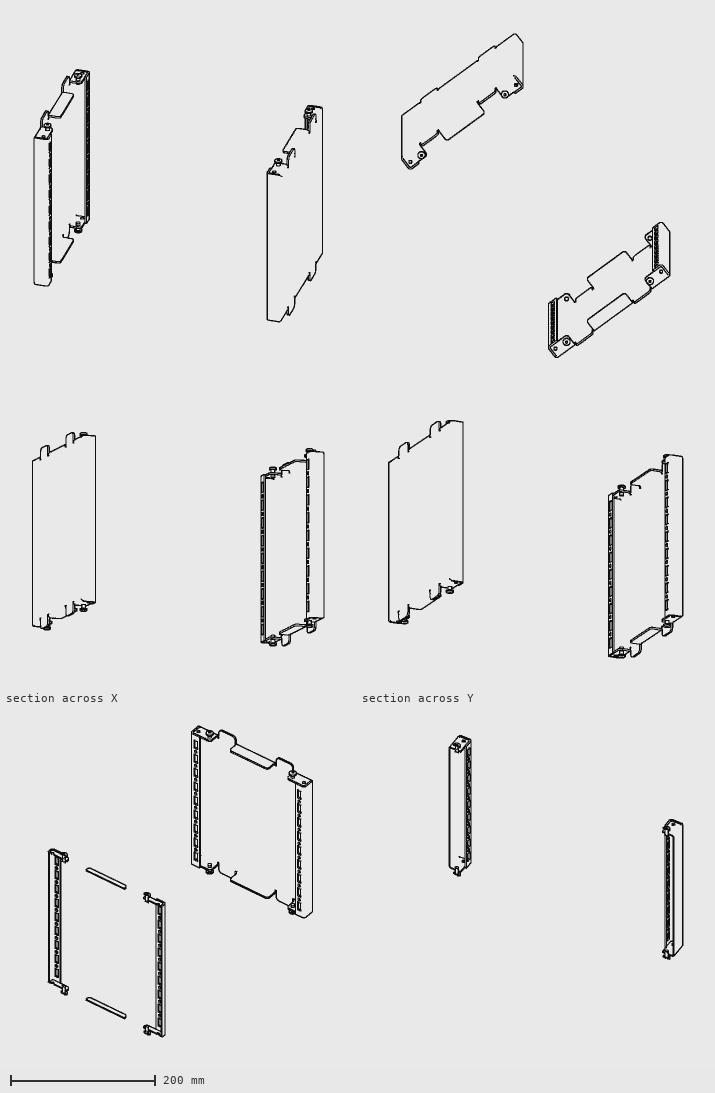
import cadquery as cq
total_x = 359.0
panel_y = 198.0
tabs_z = 255.0

sheet = 2.5
bend_radius = 4.0
tray_depth = 21.5
tray_z = 234.0
lip_width = 15.8
corner_gap = 0.18
flange_depth = tray_depth - sheet - corner_gap

tab_offset = 50.0
tab_width = 28.7
tab_corner_radius = 5.7
relief_width = 2.0
relief_depth = 5.5

middle_flange_half = tab_offset - tab_width / 2 - relief_width
corner_flange_inner = tab_offset + tab_width / 2 + relief_width
corner_flange_outer = panel_y / 2 - sheet - corner_gap
flange_corner_radius = 4.0

hole_depth = 12.5
hole_offset = 91.5
hole_diameter = 4.3
stud_offset = 72.0
shank_diameter = 5.5
stud_height = 8.5
head_diameter = 10.0
head_height = 3.2
head_top_diameter = 4.3
head_dome_height = 1.25
socket_diameter = 3.0
socket_depth = 1.8
shank_end = 3.2

slot_count = 9
slot_pitch = 25.02
slot_width = 5.7
slot_height = 14.0
lip_hole_diameter = 4.3
lip_row_offset = 89.8

SIDES = (-1, 1)


def box(x_range, y_range, z_range):
    """Axis-aligned box between pairs of limits."""
    lows, highs = zip(x_range, y_range, z_range)
    sizes = [high - low for low, high in zip(lows, highs)]
    return cq.Workplane("XY").box(*sizes, centered=False).translate(lows)


def channel_block():
    """Solid block of the tray's outside shape in the XY plane, its four upright edges rounded."""
    block = box((0, tray_depth), (-panel_y / 2, panel_y / 2), (-tray_z / 2, tray_z / 2))
    return block.edges("|Z").fillet(bend_radius)


def flange_block(y_low, y_high, depth):
    """Solid block as tall as the tray, rounded where the wall bends into the flanges."""
    block = box((0, depth), (y_low, y_high), (-tray_z / 2, tray_z / 2))
    return block.edges("<X and |Y").fillet(bend_radius)


def bent_channel():
    """Wall, side walls and lips as one C-shaped section along Z, outer wall face at X = 0."""
    inner_y = panel_y / 2 - sheet
    inner = box((sheet, tray_depth - sheet), (-inner_y, inner_y), (-tray_z / 2, tray_z / 2))
    inner = inner.edges("|Z").fillet(bend_radius - sheet)
    mouth_y = panel_y / 2 - lip_width
    mouth = box((tray_depth / 2, tray_depth), (-mouth_y, mouth_y), (-tray_z / 2, tray_z / 2))
    bend_envelope = flange_block(-panel_y / 2, panel_y / 2, tray_depth)
    return channel_block().cut(inner).cut(mouth).intersect(bend_envelope)


def flange_pair(y_low, y_high, free_corners):
    """Top and bottom flange joined by a strip of wall; free_corners selects the rounded corners."""
    inner_z = tray_z / 2 - sheet
    core = box((sheet, tray_depth), (y_low, y_high), (-inner_z, inner_z))
    core = core.edges("<X and |Y").fillet(bend_radius - sheet)
    block = flange_block(y_low, y_high, flange_depth)
    block = block.edges("|Z and >X").edges(free_corners).fillet(flange_corner_radius)
    return block.cut(core).intersect(channel_block())


def tab_strip(y_centre):
    """Flat strip of wall that ends in a rounded tab at the top and at the bottom."""
    half = tab_width / 2
    strip = box((0, sheet), (y_centre - half, y_centre + half), (-tabs_z / 2, tabs_z / 2))
    return strip.edges("|X").fillet(tab_corner_radius)


def relief_cutters(y_centre):
    """Cutters that free a tab pair and its notches from the bends."""
    half = tab_width / 2 + relief_width
    y_range = (y_centre - half, y_centre + half)
    top = box((0, tray_depth), y_range, (tray_z / 2 - relief_depth, tray_z / 2))
    return top.union(top.mirror("XY"))


def lip_places(count):
    """Y, Z centres of count openings at the slot pitch on each lip, centred on mid-height."""
    middle = (count - 1) / 2
    return [(side * lip_row_offset, (i - middle) * slot_pitch) for side in SIDES for i in range(count)]


def lip_perforation():
    """Cutters for the slots and round holes through both lips."""
    plane = cq.Workplane("YZ", origin=(tray_depth - sheet, 0, 0))
    slots = plane.pushPoints(lip_places(slot_count)).rect(slot_width, slot_height).extrude(sheet)
    holes = plane.pushPoints(lip_places(slot_count - 1)).circle(lip_hole_diameter / 2).extrude(sheet)
    return slots.add(holes).combine()


def flange_holes():
    """Cutters for the open holes and the stud holes of the corner flanges."""
    plane = cq.Workplane("XY")
    open_holes = plane.pushPoints([(hole_depth, side * hole_offset) for side in SIDES])
    open_holes = open_holes.circle(hole_diameter / 2).extrude(tray_z / 2, both=True)
    stud_holes = plane.pushPoints([(hole_depth, side * stud_offset) for side in SIDES])
    stud_holes = stud_holes.circle(shank_diameter / 2).extrude(tray_z / 2, both=True)
    return open_holes.add(stud_holes).combine()


def make_panel():
    """One panel with its outer wall face at X = 0, open towards +X."""
    panel = bent_channel()
    for side in SIDES:
        panel = panel.cut(relief_cutters(side * tab_offset)).union(tab_strip(side * tab_offset))
    panel = panel.union(flange_pair(-middle_flange_half, middle_flange_half, "<Y or >Y"))
    panel = panel.union(flange_pair(corner_flange_inner, corner_flange_outer, "<Y"))
    panel = panel.union(flange_pair(-corner_flange_outer, -corner_flange_inner, ">Y"))
    return panel.cut(lip_perforation()).cut(flange_holes())


def make_stud():
    """Headed stud along +Z, the flange's outer face at Z = 0."""
    rim_z = stud_height - head_dome_height
    half_section = (
        cq.Workplane("XZ")
        .moveTo(0, stud_height - socket_depth)
        .lineTo(socket_diameter / 2, stud_height - socket_depth)
        .lineTo(socket_diameter / 2, stud_height)
        .lineTo(head_top_diameter / 2, stud_height)
        .tangentArcPoint((head_diameter / 2, rim_z), relative=False)
        .lineTo(head_diameter / 2, stud_height - head_height)
        .lineTo(shank_diameter / 2, stud_height - head_height)
        .lineTo(shank_diameter / 2, -sheet - shank_end)
        .lineTo(0, -sheet - shank_end)
        .close()
    )
    return half_section.revolve(360, (0, 0, 0), (0, 1, 0))


left_panel = make_panel().translate((-total_x / 2, 0, 0))
right_panel = left_panel.mirror("YZ")

upper_stud = make_stud().translate((0, 0, tray_z / 2))
lower_stud = upper_stud.mirror("XY")
stud_x = total_x / 2 - hole_depth
studs = []
for x_side in SIDES:
    for y_side in SIDES:
        for stud in (upper_stud, lower_stud):
            studs.append(stud.translate((x_side * stud_x, y_side * stud_offset, 0)).val())

result = cq.Compound.makeCompound([left_panel.val(), right_panel.val(), *studs])